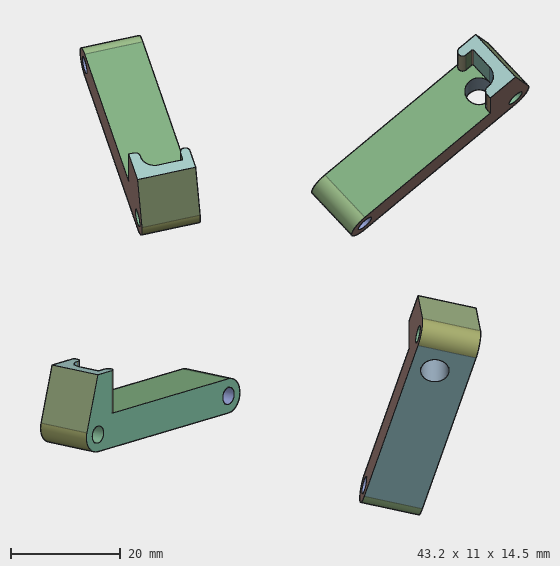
import cadquery as cq
import math

length = 43.2
width = 11.0
height = 14.5
eye_radius = 3.25
pin_diameter = 3.2
arm_height = 2 * eye_radius
left_pin_x = eye_radius
right_pin_x = length - eye_radius

jaw_start_x = 33.77
bore_diameter = 5.2
bore_radius = bore_diameter / 2
bore_x = 35.05
bore_y = 4.55
near_lip_radius = 1.05
far_lip_thickness = 1.8
far_lip_radius = far_lip_thickness / 2
corner_radius = 0.25

pocket_back_x = bore_x + bore_radius
near_lip_y = bore_y - bore_radius
far_lip_y = width - far_lip_thickness
far_lip_center_x = bore_x + far_lip_radius
diagonal = math.sqrt(0.5)


def extrude_across_width(sketch):
    """Extrude an XZ outline from the y = 0 face to the opposite side."""
    return sketch.extrude(-width)


def make_body():
    """Straight arm, round ends and an upright whose back is tangent to its eye."""
    arm = extrude_across_width(
        cq.Workplane("XZ").moveTo(left_pin_x, 0).lineTo(right_pin_x, 0)
        .lineTo(right_pin_x, arm_height).lineTo(left_pin_x, arm_height).close()
    )
    for pin_x in (left_pin_x, right_pin_x):
        eye = extrude_across_width(cq.Workplane("XZ").center(pin_x, eye_radius).circle(eye_radius))
        arm = arm.union(eye)

    tangent_angle = math.acos(eye_radius / (height - eye_radius))
    tangent_x = right_pin_x + eye_radius * math.sin(tangent_angle)
    tangent_z = eye_radius + eye_radius * math.cos(tangent_angle)
    upright = extrude_across_width(
        cq.Workplane("XZ").moveTo(jaw_start_x, eye_radius).lineTo(right_pin_x, eye_radius)
        .lineTo(tangent_x, tangent_z).lineTo(right_pin_x, height).lineTo(jaw_start_x, height).close()
    )
    return arm.union(upright)


def make_jaw_pocket():
    """Space in front of and inside the jaw, above the arm."""
    near_lip_end_x = jaw_start_x + near_lip_radius
    near_lip_center_y = near_lip_y - near_lip_radius
    corner_center_x = pocket_back_x - corner_radius
    corner_center_y = far_lip_y - corner_radius
    return (
        cq.Workplane("XY").workplane(offset=arm_height)
        .moveTo(jaw_start_x, near_lip_center_y)
        .threePointArc(
            (near_lip_end_x - near_lip_radius * diagonal, near_lip_center_y + near_lip_radius * diagonal),
            (near_lip_end_x, near_lip_y),
        )
        .lineTo(bore_x, near_lip_y)
        .threePointArc(
            (bore_x + bore_radius * diagonal, bore_y - bore_radius * diagonal),
            (pocket_back_x, bore_y),
        )
        .lineTo(pocket_back_x, corner_center_y)
        .threePointArc(
            (corner_center_x + corner_radius * diagonal, corner_center_y + corner_radius * diagonal),
            (corner_center_x, far_lip_y),
        )
        .lineTo(far_lip_center_x, far_lip_y)
        .threePointArc(
            (far_lip_center_x - far_lip_radius, width - far_lip_radius),
            (far_lip_center_x, width),
        )
        .lineTo(jaw_start_x, width)
        .close()
        .extrude(height - arm_height)
    )


body = make_body().cut(make_jaw_pocket())

for pin_x in (left_pin_x, right_pin_x):
    pin_hole = extrude_across_width(cq.Workplane("XZ").center(pin_x, eye_radius).circle(pin_diameter / 2))
    body = body.cut(pin_hole)

bore = cq.Workplane("XY").center(bore_x, bore_y).circle(bore_radius).extrude(arm_height)
result = body.cut(bore)